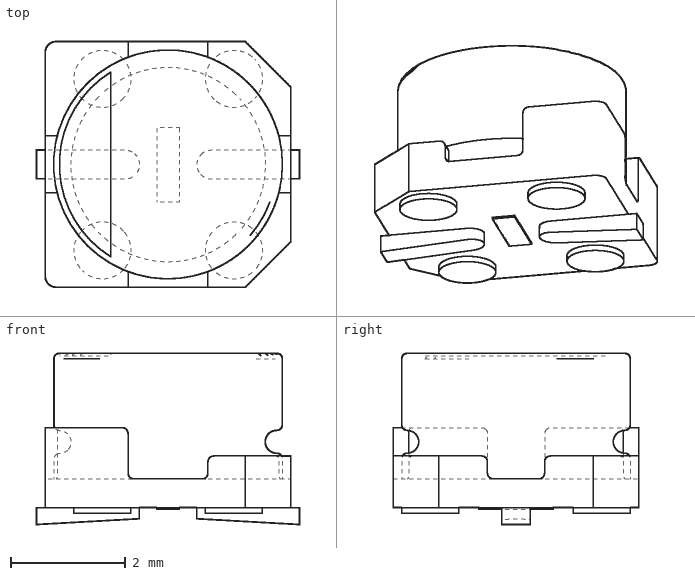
import cadquery as cq
import math

TERMINAL_SPAN = 4.6

BASE_SIDE = 4.3
POST_HEIGHT_TALL = 1.4
POST_HEIGHT_LOW = 0.9
FLOOR_HEIGHT = 0.5
CORNER_RADIUS = 0.2
CORNER_CHAMFER = 0.8
NOTCH_WIDTH_X = 1.4
NOTCH_WIDTH_Y = 1.0
FOOT_DIAMETER = 1.0
FOOT_HEIGHT = 0.1
FOOT_X = 1.15
FOOT_Y = 1.5
PAD_LENGTH_X = 0.4
PAD_LENGTH_Y = 1.3
PAD_HEIGHT = 0.03

CAN_DIAMETER = 4.0
CAN_TOP = 2.7
GROOVE_CENTER_HEIGHT = 1.15
GROOVE_RADIUS = 0.2
EDGE_RADIUS = 0.1

MARK_EDGE_X = -1.005
MARK_DEPTH = 0.045

TERMINAL_WIDTH = 0.505
TERMINAL_INNER_X = 0.5
TERMINAL_OUTER_THICKNESS = 0.3
TERMINAL_INNER_THICKNESS = 0.2

half_side = BASE_SIDE / 2
can_radius = CAN_DIAMETER / 2
top_flat_radius = can_radius - EDGE_RADIUS


def wall_notch(width, left_top, right_top):
    """Notch cutter along Y, with round bottom corners and rounded upper lips."""
    half = width / 2
    r = EDGE_RADIUS
    bend = r * (1 - math.sqrt(0.5))
    above = POST_HEIGHT_TALL + r
    return (
        cq.Workplane("XZ")
        .moveTo(-half - r, above)
        .lineTo(-half - r, left_top)
        .threePointArc((-half - bend, left_top - bend), (-half, left_top - r))
        .lineTo(-half, FLOOR_HEIGHT + r)
        .threePointArc((-half + bend, FLOOR_HEIGHT + bend), (-half + r, FLOOR_HEIGHT))
        .lineTo(half - r, FLOOR_HEIGHT)
        .threePointArc((half - bend, FLOOR_HEIGHT + bend), (half, FLOOR_HEIGHT + r))
        .lineTo(half, right_top - r)
        .threePointArc((half + bend, right_top - bend), (half + r, right_top))
        .lineTo(half + r, above)
        .close()
        .extrude(half_side)
    )


def make_base():
    """Base with four corner posts, a round seat for the can, feet and a pad."""
    body = cq.Workplane("XY").rect(BASE_SIDE, BASE_SIDE).extrude(POST_HEIGHT_TALL)
    body = body.edges("|Z and <X").fillet(CORNER_RADIUS)
    body = body.edges("|Z and >X").chamfer(CORNER_CHAMFER)

    low_side = (
        cq.Workplane("XY", origin=(0, 0, POST_HEIGHT_LOW))
        .rect(half_side, BASE_SIDE)
        .extrude(POST_HEIGHT_TALL - POST_HEIGHT_LOW)
        .translate((half_side / 2, 0, 0))
    )
    body = body.cut(low_side)

    seat = (
        cq.Workplane("XY", origin=(0, 0, FLOOR_HEIGHT))
        .circle(can_radius)
        .extrude(POST_HEIGHT_TALL - FLOOR_HEIGHT)
    )
    body = body.cut(seat)

    front_notch = wall_notch(NOTCH_WIDTH_X, POST_HEIGHT_TALL, POST_HEIGHT_LOW)
    left_notch = wall_notch(NOTCH_WIDTH_Y, POST_HEIGHT_TALL, POST_HEIGHT_TALL)
    right_notch = wall_notch(NOTCH_WIDTH_Y, POST_HEIGHT_LOW, POST_HEIGHT_LOW)
    body = body.cut(front_notch).cut(front_notch.mirror("XZ"))
    body = body.cut(left_notch.rotate((0, 0, 0), (0, 0, 1), -90))
    body = body.cut(right_notch.rotate((0, 0, 0), (0, 0, 1), 90))

    feet = (
        cq.Workplane("XY")
        .rect(2 * FOOT_X, 2 * FOOT_Y, forConstruction=True)
        .vertices()
        .circle(FOOT_DIAMETER / 2)
        .extrude(-FOOT_HEIGHT)
    )
    pad = cq.Workplane("XY").rect(PAD_LENGTH_X, PAD_LENGTH_Y).extrude(-PAD_HEIGHT)
    return body.union(feet).union(pad).solids()


def make_can():
    """Turned can with a round groove that blends into rounded edges."""
    r = EDGE_RADIUS
    diagonal = r * math.sqrt(0.5)
    groove_bottom = GROOVE_CENTER_HEIGHT - GROOVE_RADIUS
    groove_top = GROOVE_CENTER_HEIGHT + GROOVE_RADIUS
    groove_inner = top_flat_radius - GROOVE_RADIUS
    return (
        cq.Workplane("XZ")
        .moveTo(0, FLOOR_HEIGHT)
        .lineTo(can_radius, FLOOR_HEIGHT)
        .lineTo(can_radius, groove_bottom - r)
        .threePointArc(
            (top_flat_radius + diagonal, groove_bottom - r + diagonal),
            (top_flat_radius, groove_bottom),
        )
        .threePointArc((groove_inner, GROOVE_CENTER_HEIGHT), (top_flat_radius, groove_top))
        .threePointArc(
            (top_flat_radius + diagonal, groove_top + r - diagonal),
            (can_radius, groove_top + r),
        )
        .lineTo(can_radius, CAN_TOP - r)
        .threePointArc(
            (top_flat_radius + diagonal, CAN_TOP - r + diagonal),
            (top_flat_radius, CAN_TOP),
        )
        .lineTo(0, CAN_TOP)
        .close()
        .revolve(360, (0, 0, 0), (0, 1, 0))
    )


def make_polarity_mark():
    """Thin circular segment on the -X side of the can top."""
    half_chord = math.sqrt(top_flat_radius**2 - MARK_EDGE_X**2)
    return (
        cq.Workplane("XY", origin=(0, 0, CAN_TOP))
        .moveTo(MARK_EDGE_X, -half_chord)
        .threePointArc((-top_flat_radius, 0), (MARK_EDGE_X, half_chord))
        .close()
        .extrude(-MARK_DEPTH)
    )


def make_terminal():
    """Terminal on the +X side: a wedge with a round inner end."""
    outer_x = TERMINAL_SPAN / 2
    half_width = TERMINAL_WIDTH / 2
    round_center_x = TERMINAL_INNER_X + half_width
    wedge = (
        cq.Workplane("XZ")
        .moveTo(TERMINAL_INNER_X, 0)
        .lineTo(outer_x, 0)
        .lineTo(outer_x, -TERMINAL_OUTER_THICKNESS)
        .lineTo(TERMINAL_INNER_X, -TERMINAL_INNER_THICKNESS)
        .close()
        .extrude(half_width, both=True)
    )
    outline = (
        cq.Workplane("XY")
        .moveTo(outer_x, -half_width)
        .lineTo(round_center_x, -half_width)
        .threePointArc((TERMINAL_INNER_X, 0), (round_center_x, half_width))
        .lineTo(outer_x, half_width)
        .close()
        .extrude(-TERMINAL_OUTER_THICKNESS)
    )
    return wedge.intersect(outline).solids()


base = make_base()
polarity_mark = make_polarity_mark()
can = make_can().cut(polarity_mark).solids()
terminals = [make_terminal().rotate((0, 0, 0), (0, 0, 1), angle) for angle in (0, 180)]

result = cq.Compound.makeCompound(
    [base.val(), can.val(), polarity_mark.val()] + [terminal.val() for terminal in terminals]
)